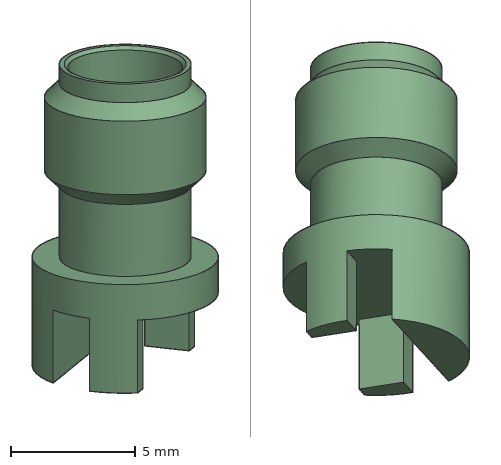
import cadquery as cq

total_height = 12.7
flange_bottom = 3.07
flange_top = 4.58
collar_bottom = 7.62
collar_top = 11.91

flange_radius = 3.75
neck_radius = 2.65
collar_radius = 3.25
collar_chamfer = collar_radius - neck_radius

bore_radius = 2.31
bore_depth = 1.9
bore_chamfer = 0.14

segment_inner_x = -1.89
leg_min_x = -0.15
leg_max_x = 1.75
leg_inner_y = 2.68


def turned_body():
    """Flange, neck and double-chamfered collar, revolved about Z."""
    profile = (
        cq.Workplane("XZ")
        .moveTo(0, flange_bottom)
        .lineTo(flange_radius, flange_bottom)
        .lineTo(flange_radius, flange_top)
        .lineTo(neck_radius, flange_top)
        .lineTo(neck_radius, collar_bottom)
        .lineTo(collar_radius, collar_bottom + collar_chamfer)
        .lineTo(collar_radius, collar_top - collar_chamfer)
        .lineTo(neck_radius, collar_top)
        .lineTo(neck_radius, total_height)
        .lineTo(0, total_height)
        .close()
    )
    return profile.revolve(360, (0, 0, 0), (0, 1, 0))


def bore():
    """Flat-bottomed bore with a chamfered mouth."""
    bore_floor = total_height - bore_depth
    profile = (
        cq.Workplane("XZ")
        .moveTo(0, bore_floor)
        .lineTo(bore_radius, bore_floor)
        .lineTo(bore_radius, total_height - bore_chamfer)
        .lineTo(bore_radius + bore_chamfer, total_height)
        .lineTo(0, total_height)
        .close()
    )
    return profile.revolve(360, (0, 0, 0), (0, 1, 0))


def foot(min_x, max_x, min_y, max_y):
    """Part of the flange cylinder inside a rectangle, reaching down to the foot plane."""
    block = (
        cq.Workplane("XY")
        .box(max_x - min_x, max_y - min_y, flange_top, centered=False)
        .translate((min_x, min_y, 0))
    )
    cylinder = cq.Workplane("XY").circle(flange_radius).extrude(flange_top)
    return cylinder.intersect(block)


solid_segment = foot(-flange_radius, segment_inner_x, -flange_radius, flange_radius)
front_leg = foot(leg_min_x, leg_max_x, -flange_radius, -leg_inner_y)
back_leg = foot(leg_min_x, leg_max_x, leg_inner_y, flange_radius)

result = turned_body().cut(bore())
for support in (solid_segment, front_leg, back_leg):
    result = result.union(support)